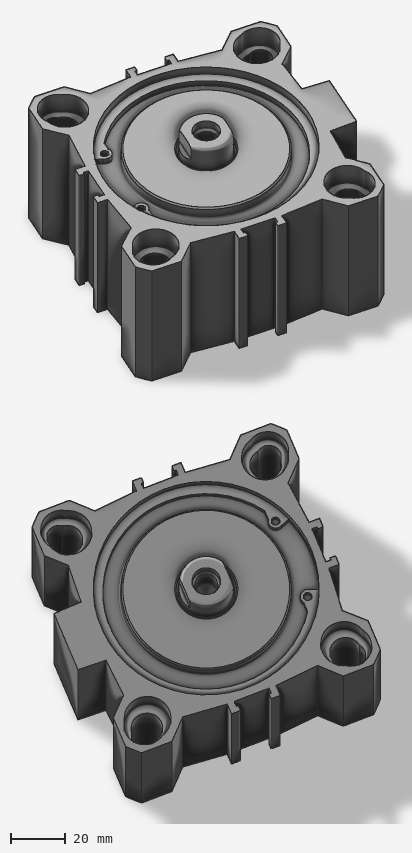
import cadquery as cq
import math


BODY_SIZE = 100.0
OVERALL_LENGTH = 105.0
BODY_HEIGHT = 56.2
HALF_BODY = BODY_SIZE / 2
PAD_CHAMFER = 4.5
PAD_INNER = 33.6
WAIST_X = 26.5
WAIST_DEPTH = 42.7

RAIL_OUTER = 9.6
RAIL_WEB_INNER = 6.8
RAIL_HOOK_INNER = 6.0
RAIL_ROOT = 44.2
RAIL_HOOK_START = 46.2
RAIL_TIP = 48.3
HOOK_ROUND = 0.4

PORT_TOP_Y = OVERALL_LENGTH - HALF_BODY
PORT_TOP_HALF_WIDTH = 11.7
PORT_ROOT_HALF_WIDTH = 12.1
PORT_ROOT_Y = RAIL_ROOT
PORT_WAIST_X = 26.9
PORT_WAIST_Y = 43.3

BOLT_PITCH = 39.0
BOLT_DIAMETER = 11.4
BOLT_SEAT_PITCH = 38.5
BOLT_SEAT_DIAMETER = 17.0
TAP_PITCH = 41.2
TAP_DIAMETER = 8.9
TAP_SEAT_PITCH = 40.4
TAP_SEAT_DIAMETER = 15.2
SEAT_DEPTH = 9.0

RECESS_DIAMETER = 82.1
GROOVE_DIAMETER = 85.6

RING_DROP = 3.6
RING_THICKNESS = 2.5
RING_INNER_RADIUS = 37.6
LUG_X = 15.6
LUG_Y = -33.5
LUG_RADIUS = 2.7
LUG_HOLE_DIAMETER = 3.0
LUG_WEB_Y = -31.3

COVER_THICKNESS = 12.6
BOSS_DIAMETER = 62.0
BOSS_DROP = 1.2
BOSS_CHAMFER = 0.6
BOSS_FILLET = 0.8
ROD_BORE_DIAMETER = 20.6
WIPER_DIAMETER = 21.9
WIPER_DEPTH = 1.0
WIPER_MOUTH_DIAMETER = 23.0

ROD_DIAMETER = 20.0
ROD_TOP = 64.0
ROD_FILLET = 1.7
FLATS_WIDTH = 17.0
FLATS_LENGTH = 6.2
ROD_MOUTH_DIAMETER = 10.3
ROD_MOUTH_DEPTH = 3.5
ROD_HOLE_DIAMETER = 8.4
ROD_HOLE_DEPTH = 14.7
DRILL_POINT_ANGLE = 118.0

OVERLAP = 1.0

RING_TOP = BODY_HEIGHT - RING_DROP
COVER_FACE = RING_TOP - RING_THICKNESS
COVER_BASE = COVER_FACE - COVER_THICKNESS
BOSS_TOP = BODY_HEIGHT - BOSS_DROP


def disc(diameter, bottom, top, x=0.0, y=0.0):
    """Upright cylinder between two levels."""
    return cq.Workplane("XY", origin=(x, y, bottom)).circle(diameter / 2).extrude(top - bottom)


def body_block():
    """Star-shaped block with its port: the +X half of the outline, mirrored."""
    pad_edge = HALF_BODY - PAD_CHAMFER
    arc_mid = math.hypot(HALF_BODY, pad_edge) / math.sqrt(2)
    half = (
        cq.Workplane("XY")
        .moveTo(0, -RAIL_ROOT)
        .lineTo(RAIL_OUTER, -RAIL_ROOT)
        .lineTo(WAIST_X, -WAIST_DEPTH)
        .lineTo(PAD_INNER, -HALF_BODY)
        .lineTo(pad_edge, -HALF_BODY)
        .threePointArc((arc_mid, -arc_mid), (HALF_BODY, -pad_edge))
        .lineTo(HALF_BODY, -PAD_INNER)
        .lineTo(WAIST_DEPTH, -WAIST_X)
        .lineTo(RAIL_ROOT, -RAIL_OUTER)
        .lineTo(RAIL_ROOT, RAIL_OUTER)
        .lineTo(WAIST_DEPTH, WAIST_X)
        .lineTo(HALF_BODY, PAD_INNER)
        .lineTo(HALF_BODY, pad_edge)
        .threePointArc((arc_mid, arc_mid), (pad_edge, HALF_BODY))
        .lineTo(PAD_INNER, HALF_BODY)
        .lineTo(PORT_WAIST_X, PORT_WAIST_Y)
        .lineTo(PORT_ROOT_HALF_WIDTH, PORT_ROOT_Y)
        .lineTo(PORT_TOP_HALF_WIDTH, PORT_TOP_Y)
        .lineTo(0, PORT_TOP_Y)
        .close()
        .extrude(BODY_HEIGHT)
    )
    return half.union(half.mirror("YZ")).clean()


def rail_pair():
    """Two hooked rails on the -Y side, facing each other."""
    root = RAIL_ROOT - OVERLAP
    rail = (
        cq.Workplane("XY")
        .polyline([
            (RAIL_OUTER, -root),
            (RAIL_OUTER, -RAIL_TIP),
            (RAIL_HOOK_INNER, -RAIL_TIP),
            (RAIL_HOOK_INNER, -RAIL_HOOK_START),
            (RAIL_WEB_INNER, -RAIL_HOOK_START),
            (RAIL_WEB_INNER, -root),
        ])
        .close()
        .extrude(BODY_HEIGHT)
    )
    hook_corner = cq.selectors.NearestToPointSelector((RAIL_HOOK_INNER, -RAIL_TIP, BODY_HEIGHT / 2))
    rail = rail.edges(hook_corner).fillet(HOOK_ROUND)
    return rail.union(rail.mirror("YZ"))


def corner_hole(x_side, y_side):
    """Overlapping bolt and tap-drill holes with their counterbores in one pad."""
    seat_level = BODY_HEIGHT - SEAT_DEPTH
    cutter = disc(BOLT_DIAMETER, 0, BODY_HEIGHT, x_side * BOLT_PITCH, y_side * BOLT_PITCH)
    cutter = cutter.union(disc(TAP_DIAMETER, 0, BODY_HEIGHT, x_side * TAP_PITCH, y_side * TAP_PITCH))
    for pitch, diameter in ((BOLT_SEAT_PITCH, BOLT_SEAT_DIAMETER), (TAP_SEAT_PITCH, TAP_SEAT_DIAMETER)):
        seat = disc(diameter, seat_level, BODY_HEIGHT, x_side * pitch, y_side * pitch)
        cutter = cutter.union(seat)
    return cutter


def make_housing():
    housing = body_block()
    for angle in (0, 90, -90):
        housing = housing.union(rail_pair().rotate((0, 0, 0), (0, 0, 1), angle))
    for x_side in (-1, 1):
        for y_side in (-1, 1):
            housing = housing.cut(corner_hole(x_side, y_side))
    housing = housing.cut(disc(RECESS_DIAMETER, COVER_BASE, BODY_HEIGHT))
    return housing.cut(disc(GROOVE_DIAMETER, COVER_FACE, RING_TOP))


def make_ring():
    """Internal retaining ring, open at -Y between two drilled lugs."""
    ring = disc(GROOVE_DIAMETER, COVER_FACE, RING_TOP)
    ring = ring.cut(disc(2 * RING_INNER_RADIUS, COVER_FACE, RING_TOP))

    lug_angle = math.atan2(LUG_X, -LUG_Y)
    gap_angle = lug_angle - math.asin(LUG_RADIUS / math.hypot(LUG_X, LUG_Y))
    gap_depth = GROOVE_DIAMETER / 2 + OVERLAP
    gap_half_width = gap_depth * math.tan(gap_angle)
    gap = (
        cq.Workplane("XY", origin=(0, 0, COVER_FACE))
        .polyline([(0, 0), (-gap_half_width, -gap_depth), (gap_half_width, -gap_depth)])
        .close()
        .extrude(RING_THICKNESS)
    )
    ring = ring.cut(gap)

    web_end = math.sqrt(RING_INNER_RADIUS**2 - LUG_WEB_Y**2)
    web_root_y = -math.sqrt(RING_INNER_RADIUS**2 - LUG_X**2) - OVERLAP
    for side in (-1, 1):
        web = (
            cq.Workplane("XY", origin=(0, 0, COVER_FACE))
            .polyline([(side * LUG_X, LUG_WEB_Y), (side * web_end, LUG_WEB_Y), (side * LUG_X, web_root_y)])
            .close()
            .extrude(RING_THICKNESS)
        )
        ring = ring.union(web)
        ring = ring.union(disc(2 * LUG_RADIUS, COVER_FACE, RING_TOP, side * LUG_X, LUG_Y))
        ring = ring.cut(disc(LUG_HOLE_DIAMETER, COVER_FACE, RING_TOP, side * LUG_X, LUG_Y))
    return ring


def make_cover():
    """Rod cover: a plate under the ring with a raised boss and a stepped rod bore."""
    boss_radius = BOSS_DIAMETER / 2
    mouth_chamfer = (WIPER_MOUTH_DIAMETER - WIPER_DIAMETER) / 2
    wiper_floor = BOSS_TOP - mouth_chamfer - WIPER_DEPTH
    fillet_mid = BOSS_FILLET * (1 - math.sqrt(0.5))
    return (
        cq.Workplane("XZ")
        .moveTo(ROD_BORE_DIAMETER / 2, COVER_BASE)
        .lineTo(RECESS_DIAMETER / 2, COVER_BASE)
        .lineTo(RECESS_DIAMETER / 2, COVER_FACE)
        .lineTo(boss_radius + BOSS_FILLET, COVER_FACE)
        .threePointArc(
            (boss_radius + fillet_mid, COVER_FACE + fillet_mid),
            (boss_radius, COVER_FACE + BOSS_FILLET),
        )
        .lineTo(boss_radius, BOSS_TOP - BOSS_CHAMFER)
        .lineTo(boss_radius - BOSS_CHAMFER, BOSS_TOP)
        .lineTo(WIPER_MOUTH_DIAMETER / 2, BOSS_TOP)
        .lineTo(WIPER_DIAMETER / 2, BOSS_TOP - mouth_chamfer)
        .lineTo(WIPER_DIAMETER / 2, wiper_floor)
        .lineTo(ROD_BORE_DIAMETER / 2, wiper_floor)
        .close()
        .revolve(360, (0, 0, 0), (0, 1, 0))
    )


def rod_hole():
    """Stepped end hole of the rod, with a conical step and a drill point."""
    step_top = ROD_TOP - ROD_MOUTH_DEPTH
    step_drop = (ROD_MOUTH_DIAMETER - ROD_HOLE_DIAMETER) / 2
    drill_end = ROD_TOP - ROD_HOLE_DEPTH
    point_length = ROD_HOLE_DIAMETER / 2 / math.tan(math.radians(DRILL_POINT_ANGLE / 2))
    return (
        cq.Workplane("XZ")
        .polyline([
            (0, ROD_TOP),
            (ROD_MOUTH_DIAMETER / 2, ROD_TOP),
            (ROD_MOUTH_DIAMETER / 2, step_top),
            (ROD_HOLE_DIAMETER / 2, step_top - step_drop),
            (ROD_HOLE_DIAMETER / 2, drill_end),
            (0, drill_end - point_length),
        ])
        .close()
        .revolve(360, (0, 0, 0), (0, 1, 0))
    )


def wrench_flat(side):
    """Cutter for one flat, whose foot runs out at 45 degrees."""
    flat = FLATS_WIDTH / 2
    foot = ROD_TOP - FLATS_LENGTH
    reach = ROD_DIAMETER / 2 + OVERLAP
    return (
        cq.Workplane("YZ", origin=(-ROD_DIAMETER / 2, 0, 0))
        .polyline([
            (side * flat, ROD_TOP),
            (side * flat, foot),
            (side * reach, foot - (reach - flat)),
            (side * reach, ROD_TOP),
        ])
        .close()
        .extrude(ROD_DIAMETER)
    )


def make_rod():
    rod = disc(ROD_DIAMETER, COVER_BASE, ROD_TOP).faces(">Z").edges().fillet(ROD_FILLET)
    for side in (-1, 1):
        rod = rod.cut(wrench_flat(side))
    return rod.cut(rod_hole())


housing = make_housing()
ring = make_ring()
cover = make_cover()
rod = make_rod()

result = cq.Compound.makeCompound([housing.val(), ring.val(), cover.val(), rod.val()])